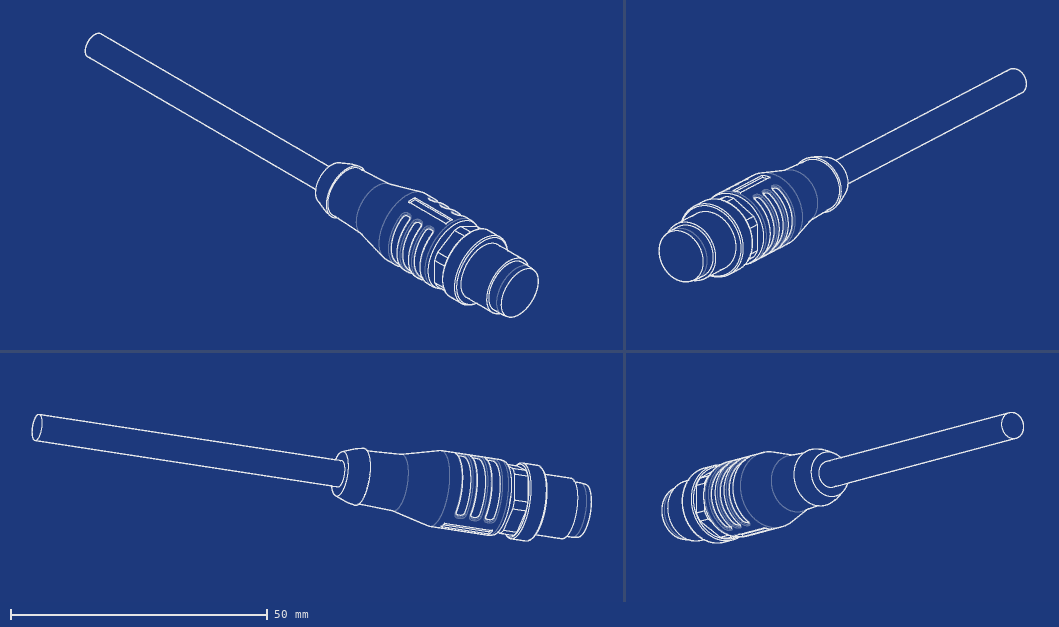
import cadquery as cq
import math

total_length = 114.7
grip_start = 63.8
bead_end = 67.95
waist_end = 75.95
barrel_start = 83.9
barrel_end = 97.0
nut_start = 97.95
collar_start = 100.75
collar_end = 104.55
sleeve_end = 111.5

cable_radius = 5.2 / 2
grip_start_radius = 4.4
bead_middle_radius = 5.2
bead_radius = 5.65
waist_start_radius = 5.25
waist_end_radius = 5.6
barrel_radius = 7.5
neck_radius = 9.3 / 2
collar_radius = 7.5
sleeve_radius = 12 / 2
tip_radius = 10.8 / 2
barrel_chamfer = 0.7
barrel_chamfer_depth = 0.15
collar_chamfer = 0.3
tip_chamfer_length = 1.1
tip_end_radius = 10.5 / 2

nut_across_flats = 13.0
nut_corner_diameter = 14.1

groove_count = 3
groove_pitch = 3.1
groove_width = 1.8
groove_depth = 0.5
groove_corner_radius = 0.7
groove_rim_fillet = 0.3
groove_inner_edge = 3.2
first_groove_x = 87.65

position_tolerance = 0.01

pocket_start = 85.55
pocket_length = 10.1
pocket_width = 1.8
pocket_depth = 0.5


def turned_body():
    """Cable, grip, neck, collar and sleeve revolved about the X axis."""
    bead_middle = ((grip_start + bead_end) / 2, bead_middle_radius)
    profile = (
        cq.Workplane("XZ")
        .moveTo(0, 0)
        .lineTo(0, cable_radius)
        .lineTo(grip_start, cable_radius)
        .lineTo(grip_start, grip_start_radius)
        .threePointArc(bead_middle, (bead_end, bead_radius))
        .lineTo(bead_end, waist_start_radius)
        .lineTo(waist_end, waist_end_radius)
        .lineTo(barrel_start, barrel_radius)
        .lineTo(barrel_end - barrel_chamfer, barrel_radius)
        .lineTo(barrel_end, barrel_radius - barrel_chamfer_depth)
        .lineTo(barrel_end, neck_radius)
        .lineTo(collar_start, neck_radius)
        .lineTo(collar_start, collar_radius - collar_chamfer)
        .lineTo(collar_start + collar_chamfer, collar_radius)
        .lineTo(collar_end - collar_chamfer, collar_radius)
        .lineTo(collar_end, collar_radius - collar_chamfer)
        .lineTo(collar_end, sleeve_radius)
        .lineTo(sleeve_end, sleeve_radius)
        .lineTo(sleeve_end, tip_radius)
        .lineTo(total_length - tip_chamfer_length, tip_radius)
        .lineTo(total_length, tip_end_radius)
        .lineTo(total_length, 0)
        .close()
    )
    return profile.revolve(360, (0, 0, 0), (1, 0, 0))


def hexagon_nut():
    """Hexagon with corners up and down, turned to the corner diameter."""
    length = collar_start - nut_start
    across_corners = nut_across_flats / math.cos(math.pi / 6)
    base = cq.Workplane("YZ", origin=(nut_start, 0, 0))
    hexagon = (
        base.transformed(rotate=(0, 0, 90))
        .polygon(6, across_corners)
        .extrude(length)
    )
    return hexagon.intersect(base.circle(nut_corner_diameter / 2).extrude(length))


def grip_groove(center_x, side):
    """Groove around one side of the barrel, ending in rounded corners."""
    reach = barrel_radius + 2 * groove_corner_radius
    outline_length = reach - groove_inner_edge
    prism = (
        cq.Workplane("XY")
        .center(center_x, side * (groove_inner_edge + outline_length / 2))
        .rect(groove_width, outline_length)
        .extrude(barrel_radius, both=True)
        .edges("|Z")
        .fillet(groove_corner_radius)
    )
    core = (
        cq.Workplane("YZ", origin=(center_x - groove_width, 0, 0))
        .circle(barrel_radius - groove_depth)
        .extrude(2 * groove_width)
    )
    return prism.cut(core)


def marking_pocket(side):
    """Shallow rectangular pocket with a flat floor."""
    center_x = pocket_start + pocket_length / 2
    center_z = side * (barrel_radius - pocket_depth / 2)
    cutter = cq.Workplane("XY").box(pocket_length, pocket_width, pocket_depth)
    return cutter.translate((center_x, 0, center_z))


def is_groove_rim(edge):
    """True for the edges where a groove wall meets the barrel surface."""
    point = edge.positionAt(0.5)
    on_surface = abs(math.hypot(point.y, point.z) - barrel_radius) < position_tolerance
    first_wall = first_groove_x - groove_pitch / 2
    last_wall = first_groove_x + (groove_count - 0.5) * groove_pitch
    beside_top = abs(point.y) > groove_inner_edge - position_tolerance
    return on_surface and beside_top and first_wall < point.x < last_wall


result = turned_body().union(hexagon_nut())
for side in (-1, 1):
    for index in range(groove_count):
        result = result.cut(grip_groove(first_groove_x + index * groove_pitch, side))
result = result.edges().filter(is_groove_rim).fillet(groove_rim_fillet)
for side in (-1, 1):
    result = result.cut(marking_pocket(side))